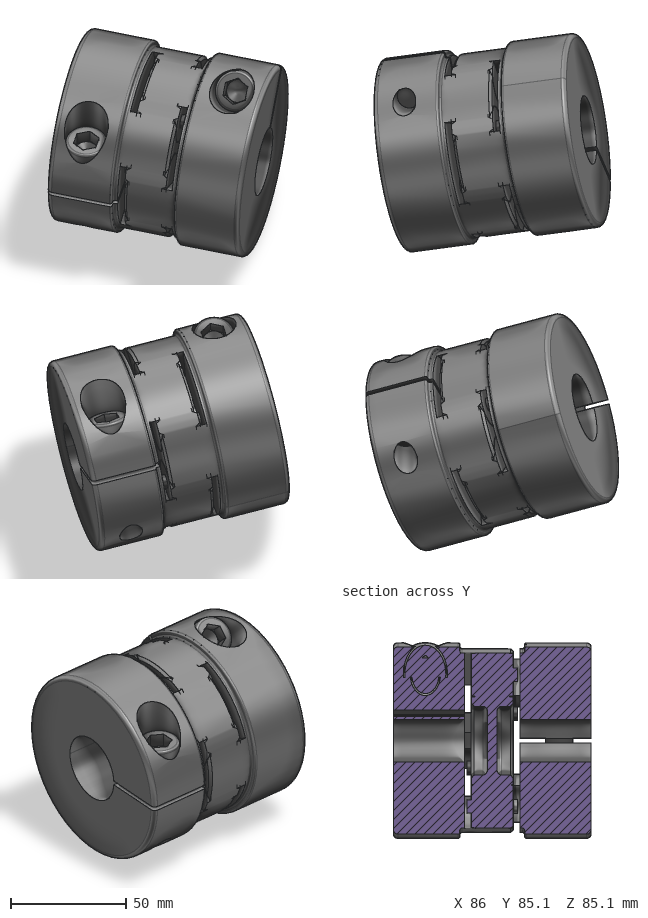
import cadquery as cq
import math

length = 86.0
center = length / 2
hub_length = 31.0
gap = 2.8
ring_start = hub_length + gap
ring_length = length - 2 * ring_start

hub_diameter = 85.05
flange_diameter = 80.0
end_round = 2.0
step_round = 0.95
step_position = 29.0
hub_bore = 30.0
slit_width = 1.9

screw_x = 13.9
screw_offset = 28.8
head_diameter = 18.0
head_height = 12.0
head_top = 23.05
head_round = 1.0
shank_diameter = 12.0
shank_length = 30.0
socket_flats = 10.0
socket_depth = 6.0
socket_cone_depth = 2.15
counterbore_diameter = 19.0
clearance_diameter = 13.0
tapped_diameter = 10.2

ring_bore = 38.0
ring_chamfer = 1.2
web_bore = 16.5
web_thickness = 4.3
web_fillet = 1.9
lug_count = 4
lug_inner_offset = 24.1
lug_inner_width = 7.05
pin_count = 2 * lug_count
pin_step = 360 / pin_count
lug_angle = pin_step
front_pin_angle = lug_angle + pin_step / 2
rear_pin_angle = lug_angle - pin_step / 2
pin_diameter = 6.0
pin_circle_radius = 31.0
pin_projection = 1.8
relief_diameter = 19.0
relief_depth = 1.9
pad_top_diameter = 18.4
rim_radius = flange_diameter / 2
pocket_half_angle = math.acos(
    (rim_radius**2 + pin_circle_radius**2 - (relief_diameter / 2) ** 2) / (2 * rim_radius * pin_circle_radius)
)
lug_half_angle = math.radians(pin_step / 2) - pocket_half_angle
lug_outer_width = 2 * rim_radius * math.sin(lug_half_angle)


def x_cylinder(x_start, diameter, depth, y=0.0):
    """Cylinder along +X starting at x_start."""
    return cq.Workplane("YZ", origin=(x_start, y, 0)).circle(diameter / 2).extrude(depth)


def z_cylinder(z_top, diameter, depth):
    """Cylinder on the clamp screw axis, running down from z_top."""
    plane = cq.Workplane("XY", origin=(screw_x, -screw_offset, z_top))
    return plane.circle(diameter / 2).extrude(-depth)


def around_axis(body, count, start_angle):
    """Copies of a body spread evenly about the X axis."""
    copies = cq.Workplane("XY")
    for i in range(count):
        angle = start_angle + i * 360 / count
        copies = copies.add(body.rotate((0, 0, 0), (1, 0, 0), angle))
    return copies.combine()


def to_rear(body):
    """Place front-end geometry at the rear, turned 45 degrees so the lugs alternate."""
    body = body.rotate((center, 0, 0), (center, 0, 1), 180)
    return body.rotate((0, 0, 0), (1, 0, 0), pin_step)


def outer_body():
    """Solid outer shape: a hub at each end of a slimmer drum."""
    collar = x_cylinder(0, hub_diameter, step_position)
    collar = collar.faces("<X").edges().fillet(end_round)
    collar = collar.faces(">X").edges().fillet(step_round)
    drum = x_cylinder(step_position, flange_diameter, length - 2 * step_position)
    body = drum.union(collar).union(to_rear(collar))
    tolerance = 0.01
    inside_corners = body.edges("%CIRCLE").filter(
        lambda edge: abs(edge.radius() - rim_radius) < tolerance
    )
    return inside_corners.fillet(step_round)


def clamp_screw():
    """Socket head cap screw with a hexagonal, cone-bottomed socket."""
    head = z_cylinder(head_top, head_diameter, head_height).faces(">Z").edges().fillet(head_round)
    shank = z_cylinder(head_top - head_height, shank_diameter, shank_length)
    top = cq.Workplane("XY", origin=(screw_x, -screw_offset, head_top))
    socket_corners = socket_flats / math.cos(math.pi / 6)
    socket = top.transformed(rotate=(0, 0, 90)).polygon(6, socket_corners).extrude(-socket_depth)
    cone = cq.Solid.makeCone(
        socket_flats / 2,
        0,
        socket_cone_depth,
        cq.Vector(screw_x, -screw_offset, head_top - socket_depth),
        cq.Vector(0, 0, -1),
    )
    return head.union(shank).cut(socket).cut(cone)


def pin_reliefs(x_start, depth, count, start_angle):
    """Round pockets centred on the pins."""
    relief = x_cylinder(x_start, relief_diameter, depth, y=pin_circle_radius)
    return around_axis(relief, count, start_angle)


def gap_space(pin_angle):
    """Everything between hub and ring except the lugs: flared, each hollowed beside its pin."""
    flare_end = rim_radius * math.cos(lug_half_angle)
    lug = (
        cq.Workplane("YZ", origin=(hub_length, 0, 0))
        .moveTo(lug_inner_offset, -lug_inner_width / 2)
        .lineTo(flare_end, -lug_outer_width / 2)
        .lineTo(hub_diameter, -lug_outer_width / 2)
        .lineTo(hub_diameter, lug_outer_width / 2)
        .lineTo(flare_end, lug_outer_width / 2)
        .lineTo(lug_inner_offset, lug_inner_width / 2)
        .close()
        .extrude(gap)
    )
    lugs = around_axis(lug, lug_count, lug_angle)
    lugs = lugs.cut(pin_reliefs(hub_length, gap, lug_count, pin_angle))
    return x_cylinder(hub_length, hub_diameter, gap).cut(lugs)


def hub_cuts():
    """Bore, slit and stepped screw hole of one hub."""
    seat = head_top - head_height
    bore = x_cylinder(0, hub_bore, hub_length)
    slit = cq.Workplane("XY").box(hub_length, hub_diameter, slit_width, centered=(False, False, True))
    cuts = bore.union(slit.translate((0, -hub_diameter, 0)))
    cuts = cuts.union(z_cylinder(hub_diameter / 2, counterbore_diameter, hub_diameter / 2 - seat))
    cuts = cuts.union(z_cylinder(seat, clearance_diameter, seat))
    return cuts.union(z_cylinder(0, tapped_diameter, hub_diameter / 2))


def pad_grooves():
    """Grooves around the pins that leave tapered pads on the ring face."""
    inner = pad_top_diameter / 2
    outer = relief_diameter / 2
    groove = (
        cq.Workplane("XY", origin=(ring_start, pin_circle_radius, 0))
        .polyline([(0, inner), (0, outer), (relief_depth, outer)])
        .close()
        .revolve(360, (0, 0, 0), (1, 0, 0))
    )
    return around_axis(groove, pin_count, pin_step / 2)


def rim_chamfers():
    """Chamfer wedges on the ring rim, only where no lug joins the ring."""
    wedge = (
        cq.Workplane("XY", origin=(ring_start, 0, 0))
        .polyline([(0, rim_radius), (0, rim_radius - ring_chamfer), (ring_chamfer, rim_radius)])
        .close()
        .revolve(360, (0, 0, 0), (1, 0, 0))
    )
    sector = (
        cq.Workplane("YZ", origin=(ring_start, pin_circle_radius, 0))
        .rect(pin_circle_radius, lug_outer_width)
        .extrude(ring_chamfer)
    )
    wedge = wedge.intersect(around_axis(sector, lug_count, lug_angle + pin_step))
    return wedge.cut(pin_reliefs(ring_start, ring_chamfer, pin_count, pin_step / 2))


def ring_recess():
    """Filleted recess in one ring face, with a chamfered mouth."""
    recess_depth = (ring_length - web_thickness) / 2
    recess = x_cylinder(ring_start, ring_bore, recess_depth).faces(">X").edges().fillet(web_fillet)
    mouth = cq.Solid.makeCone(
        ring_bore / 2 + ring_chamfer,
        ring_bore / 2,
        ring_chamfer,
        cq.Vector(ring_start, 0, 0),
        cq.Vector(1, 0, 0),
    )
    return recess.union(cq.Workplane(mouth))


def pins(pin_angle):
    """Pins standing on one ring face, one beside each lug."""
    pin = x_cylinder(ring_start - pin_projection, pin_diameter, pin_projection, y=pin_circle_radius)
    return around_axis(pin, lug_count, pin_angle)


result = outer_body().cut(x_cylinder(ring_start, web_bore, ring_length))
for cutter in (hub_cuts(), ring_recess(), pad_grooves(), rim_chamfers()):
    result = result.cut(cutter).cut(to_rear(cutter))
result = result.cut(gap_space(front_pin_angle)).cut(to_rear(gap_space(rear_pin_angle)))
result = result.union(pins(front_pin_angle)).union(to_rear(pins(rear_pin_angle)))
screw = clamp_screw()
result = result.union(screw).union(to_rear(screw))